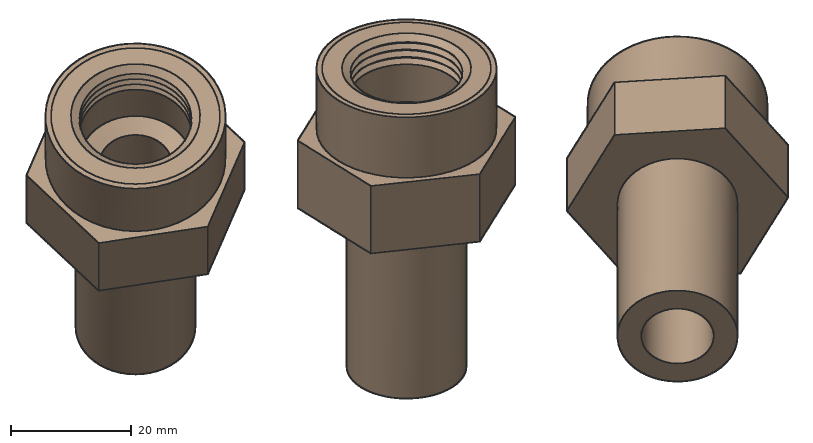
import cadquery as cq
import math

total_height = 59.0
spigot_height = 12.0
hex_height = 13.4
hex_top = total_height - spigot_height
hex_bottom = hex_top - hex_height

hex_across_flats = 32.0
hex_across_corners = hex_across_flats / math.cos(math.pi / 6)
tube_diameter = 20.0
collar_radius = 15.0
collar_wall = 0.95
spigot_radius = collar_radius - collar_wall

bore_radius = 6.0
mouth_radius = 10.75
crest_radius = 9.3
mouth_depth = 0.8
groove_depth = 0.8
groove_pitch = 1.5
groove_count = 3
socket_depth = 12.7
seat_half_angle = math.radians(76)
seat_height = (crest_radius - bore_radius) / math.tan(seat_half_angle)


def make_outside():
    """Tube, hexagon with corners on the Y axis, and round spigot as one blank."""
    tube = cq.Workplane("XY").circle(tube_diameter / 2).extrude(hex_bottom)
    hexagon = (
        cq.Workplane("XY", origin=(0, 0, hex_bottom))
        .polygon(6, hex_across_corners)
        .extrude(hex_height)
        .rotate((0, 0, 0), (0, 0, 1), 30)
    )
    spigot = cq.Workplane("XY", origin=(0, 0, hex_top)).circle(spigot_radius).extrude(spigot_height)
    return tube.union(hexagon).union(spigot)


def make_bore():
    """Through bore, conical seat, socket with V grooves, and countersunk mouth."""
    socket_floor = total_height - socket_depth
    groove_top = total_height - mouth_depth
    profile = [
        (0, 0),
        (bore_radius, 0),
        (bore_radius, socket_floor - seat_height),
        (crest_radius, socket_floor),
    ]
    for index in reversed(range(groove_count)):
        crest_below = groove_top - (index + 1) * groove_pitch
        profile.append((crest_radius, crest_below))
        profile.append((crest_radius + groove_depth, crest_below + groove_pitch / 2))
    profile += [(crest_radius, groove_top), (mouth_radius, total_height), (0, total_height)]
    return cq.Workplane("XZ").polyline(profile).close().revolve(360, (0, 0, 0), (0, 1, 0))


def make_collar():
    """Thin sleeve around the spigot, resting on the hexagon."""
    return (
        cq.Workplane("XY", origin=(0, 0, hex_top))
        .circle(collar_radius)
        .circle(spigot_radius)
        .extrude(spigot_height)
    )


fitting = make_outside().cut(make_bore())
collar = make_collar()

result = cq.Compound.makeCompound([fitting.val(), collar.val()])